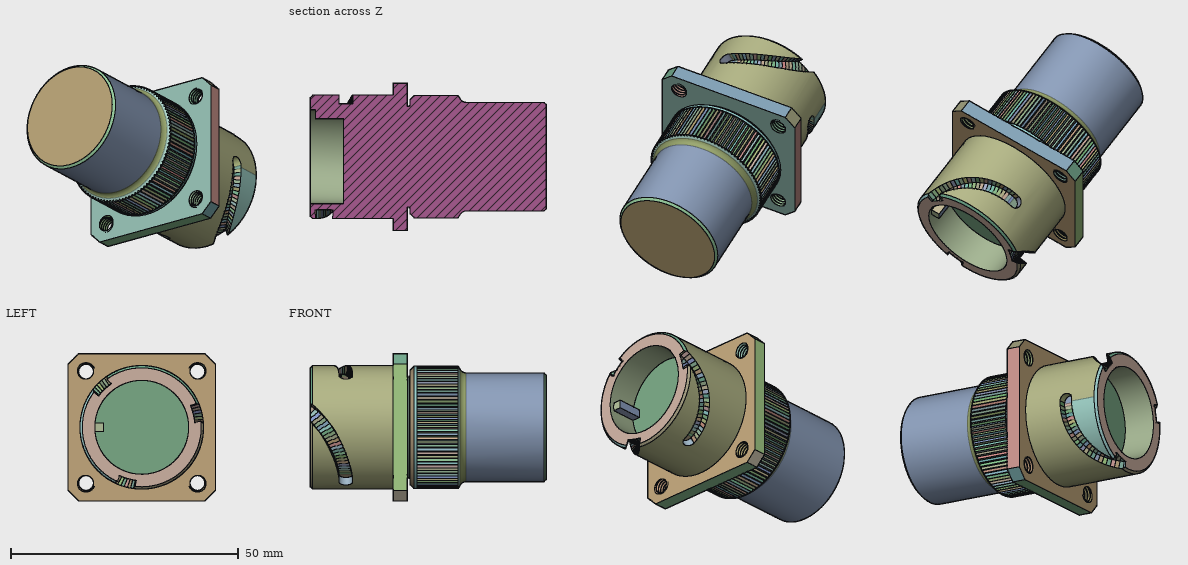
import cadquery as cq
import math

total_length = 52.0
edge_chamfer = 0.5

shell_radius = 13.6
bore_radius = 10.35
bore_depth = 7.3

flange_size = 32.5
flange_start = 18.25
flange_end = 21.4
flange_corner = 2.35

neck_radius = 11.15
collar_start = 21.8
collar_radius = 11.3
nut_start = 21.95
nut_radius = 13.5
nut_chamfer = 0.95
knurl_start = 23.55
knurl_end = 32.6
knurl_teeth = 96
knurl_depth = 0.44
rear_slope = 60.0
barrel_radius = 12.0
barrel_fillet = 1.5
knurl_root = nut_radius - knurl_depth

key_start = 1.15
key_inner = 8.35
key_width = 1.9
key_embed = 0.5

slot_count = 3
slot_width = 2.95
slot_floor_radius = 11.7
slot_mouth_angle = 45.0
slot_sweep = 77.5
slot_end_x = 7.85
slot_segments = 22
slot_extra_segments = 3

hole_pitch = 24.55
hole_minor_radius = 1.6
hole_major_radius = 2.0
thread_pitch = 0.7
thread_start_angle = 45.0
thread_overlap = 0.025
thread_fill = 0.98
thread_run_out = 1.25 * thread_pitch


def place_radially(solid, x, angle):
    """Move a solid that points along +Y to position x and turn it about X from +Y towards +Z."""
    return solid.rotate((0, 0, 0), (1, 0, 0), angle).translate((x, 0, 0))


def turned_body():
    """Revolve everything that is round about X, apart from the bore and the knurl."""
    slope = math.radians(rear_slope)
    fillet_top = barrel_radius + barrel_fillet * (1 - math.cos(slope))
    cone_end = knurl_end + (nut_radius - fillet_top) / math.tan(slope)
    fillet_end = cone_end + barrel_fillet * math.sin(slope)
    fillet_mid = (
        fillet_end - barrel_fillet * math.sin(slope / 2),
        barrel_radius + barrel_fillet * (1 - math.cos(slope / 2)),
    )
    profile = (
        cq.Workplane("XY")
        .moveTo(0, 0)
        .lineTo(0, shell_radius - edge_chamfer)
        .lineTo(edge_chamfer, shell_radius)
        .lineTo(flange_start, shell_radius)
        .lineTo(flange_start, neck_radius)
        .lineTo(collar_start, neck_radius)
        .lineTo(collar_start, collar_radius)
        .lineTo(nut_start, collar_radius)
        .lineTo(nut_start, nut_radius - nut_chamfer)
        .lineTo(nut_start + nut_chamfer, nut_radius)
        .lineTo(knurl_start, nut_radius)
        .lineTo(knurl_start, knurl_root)
        .lineTo(knurl_end, knurl_root)
        .lineTo(knurl_end, nut_radius)
        .lineTo(cone_end, fillet_top)
        .threePointArc(fillet_mid, (fillet_end, barrel_radius))
        .lineTo(total_length - edge_chamfer, barrel_radius)
        .lineTo(total_length, barrel_radius - edge_chamfer)
        .lineTo(total_length, 0)
        .close()
    )
    return profile.revolve(360, (0, 0, 0), (1, 0, 0))


def flange():
    """Square plate with bevelled corners."""
    return (
        cq.Workplane("YZ", origin=(flange_start, 0, 0))
        .rect(flange_size, flange_size)
        .extrude(flange_end - flange_start)
        .edges("|X")
        .chamfer(flange_corner)
    )


def knurl():
    """Straight V teeth around the nut, with sharp tips and roots."""
    outline = []
    for index in range(2 * knurl_teeth):
        angle = math.pi * index / knurl_teeth
        radius = knurl_root if index % 2 else nut_radius
        outline.append((radius * math.cos(angle), radius * math.sin(angle)))
    return (
        cq.Workplane("YZ", origin=(knurl_start, 0, 0))
        .polyline(outline)
        .close()
        .extrude(knurl_end - knurl_start)
    )


def bayonet_slot():
    """Cutter for one slot: its unrolled centreline is an arc ending square to the axis in a round end."""
    arc_length = shell_radius * math.radians(slot_sweep)
    path_radius = (arc_length**2 + slot_end_x**2) / (2 * slot_end_x)
    turn_step = math.asin(arc_length / path_radius) / slot_segments
    block_length = (2 * path_radius + slot_width) * math.tan(turn_step / 2)
    height = 2 * (shell_radius - slot_floor_radius)
    end_angle = slot_mouth_angle + slot_sweep
    end_post = cq.Workplane("XZ", origin=(0, slot_floor_radius, 0)).circle(slot_width / 2).extrude(-height)
    blocks = []
    for index in range(slot_segments + slot_extra_segments):
        turn = (index + 0.5) * turn_step
        x = slot_end_x - path_radius * (1 - math.cos(turn))
        angle = end_angle - math.degrees(path_radius * math.sin(turn) / shell_radius)
        block = (
            cq.Workplane("XY")
            .box(slot_width, height, block_length)
            .translate((0, slot_floor_radius + height / 2, 0))
            .rotate((0, 0, 0), (0, 1, 0), math.degrees(turn))
        )
        blocks.append(place_radially(block, x, angle).val())
    return place_radially(end_post, slot_end_x, end_angle).val().fuse(*blocks)


def threaded_hole():
    """Cutter for the hole in the +Y +Z corner: a plain bore with a helical V groove."""
    base_radius = hole_minor_radius - thread_overlap
    half_width = thread_pitch * thread_fill / 2
    length = flange_end - flange_start + 2 * thread_run_out
    bore = cq.Workplane("XY").circle(hole_minor_radius).extrude(length)
    helix = cq.Wire.makeHelix(thread_pitch, length, hole_minor_radius)
    groove = (
        cq.Workplane("XZ")
        .polyline(
            [
                (base_radius, -half_width),
                (hole_major_radius, 0),
                (base_radius, half_width),
            ]
        )
        .close()
        .sweep(cq.Workplane(obj=helix), isFrenet=True)
    )
    return (
        bore.union(groove)
        .rotate((0, 0, 0), (0, 0, 1), thread_start_angle)
        .rotate((0, 0, 0), (0, 1, 0), 90)
        .translate((flange_start - thread_run_out, hole_pitch / 2, hole_pitch / 2))
    )


def flange_with_holes():
    """Flange with a threaded hole in each corner, mirrored about both middle planes."""
    hole = threaded_hole()
    plate = flange()
    for side_hole in (hole, hole.mirror("XZ")):
        plate = plate.cut(side_hole).cut(side_hole.mirror("XY"))
    return plate


def key():
    """Rectangular key standing on the bore wall and running to the bore floor."""
    return (
        cq.Workplane("XY", origin=(key_start, key_inner, 0))
        .box(
            bore_depth - key_start,
            bore_radius + key_embed - key_inner,
            key_width,
            centered=(False, False, True),
        )
    )


result = turned_body().union(knurl()).union(flange_with_holes())
result = result.cut(cq.Workplane("YZ").circle(bore_radius).extrude(bore_depth))
result = result.union(key())

slot = cq.Workplane(obj=bayonet_slot())
for index in range(slot_count):
    result = result.cut(slot.rotate((0, 0, 0), (1, 0, 0), 360 / slot_count * index))